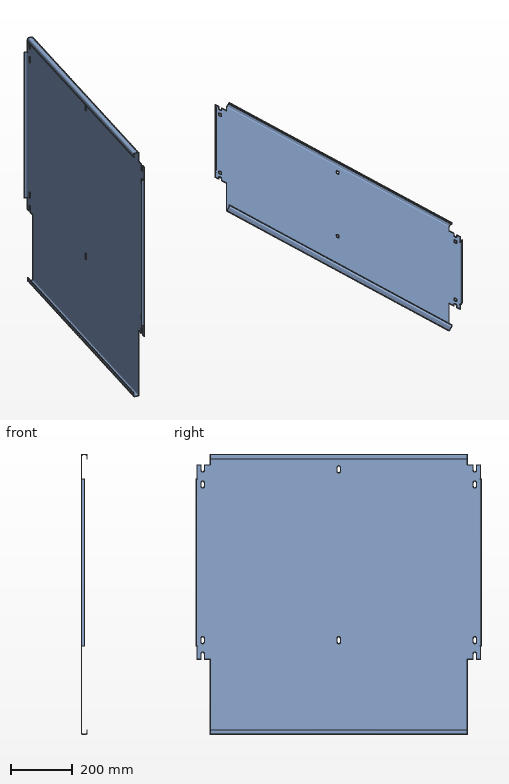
import cadquery as cq

thickness = 1.5
bend_radius = 5.0
depth = 19.0
width = 921
height = 904.0
face_x = -depth / 2

body_width = 831.0
tab_width = 915.5
tab_top = 418.0
tab_bottom = -210.0

lip_height = 15.0
side_flange_depth = 11.0
side_flange_top = 373.0
side_flange_bottom = -168.0

slot_width = 10.0
slot_length = 22.0
side_slot_y = 439.0
upper_side_slot_z = 355.0
upper_middle_slot_z = 403.0
lower_slot_z = -148.0
notch_depth = 23.0


def plate(plate_width, bottom, top):
    """Flat sheet centred on Y, spanning the given heights."""
    size = (thickness, plate_width, top - bottom)
    return cq.Workplane("XY").box(*size, centered=(False, True, False)).translate((face_x, 0, bottom))


def body():
    """Tall channel: the panel with its top and bottom edges folded back and ending in short lips."""
    inner_radius = bend_radius - thickness
    outer = (
        cq.Workplane("XZ")
        .rect(depth, height)
        .extrude(body_width / 2, both=True)
        .edges("|Y")
        .fillet(bend_radius)
    )
    inner = (
        cq.Workplane("XZ")
        .rect(depth - 2 * thickness, height - 2 * thickness)
        .extrude(body_width / 2, both=True)
        .edges("|Y")
        .fillet(inner_radius)
    )
    lip_gap = cq.Workplane("XY").box(depth, body_width, height - 2 * lip_height)
    lip_gap = lip_gap.translate((depth / 2, 0, 0))
    return outer.cut(inner).cut(lip_gap)


def side_flange():
    """Rounded fold along the +Y edge, turned back towards +X."""
    edge_y = width / 2
    bend_y = edge_y - bend_radius
    end_x = face_x + side_flange_depth
    return (
        cq.Workplane("XY")
        .workplane(offset=side_flange_bottom)
        .moveTo(face_x, bend_y)
        .radiusArc((face_x + bend_radius, edge_y), bend_radius)
        .lineTo(end_x, edge_y)
        .lineTo(end_x, edge_y - thickness)
        .lineTo(face_x + bend_radius, edge_y - thickness)
        .radiusArc((face_x + thickness, bend_y), -(bend_radius - thickness))
        .close()
        .extrude(side_flange_top - side_flange_bottom)
    )


def bend_clearance():
    """Strip of flat tab replaced by the fold on the +Y edge."""
    size = (thickness, bend_radius, side_flange_top - side_flange_bottom)
    strip = cq.Workplane("XY").box(*size, centered=False)
    return strip.translate((face_x, width / 2 - bend_radius, side_flange_bottom))


def slot(y, z, length=slot_length):
    """Upright round-ended cutter through the panel face."""
    return (
        cq.Workplane("YZ", origin=(face_x, y, z))
        .slot2D(length, slot_width, 90)
        .extrude(thickness)
    )


tabs = plate(tab_width, tab_bottom, tab_top)
clearance = bend_clearance()
flange = side_flange()
tabs = tabs.cut(clearance).cut(clearance.mirror("XZ"))
result = body().union(tabs).union(flange).union(flange.mirror("XZ"))

for z in (upper_middle_slot_z, lower_slot_z):
    result = result.cut(slot(0, z))

for y in (-side_slot_y, side_slot_y):
    for z in (upper_side_slot_z, lower_slot_z):
        result = result.cut(slot(y, z))
    for z in (tab_bottom, tab_top):
        result = result.cut(slot(y, z, 2 * notch_depth))